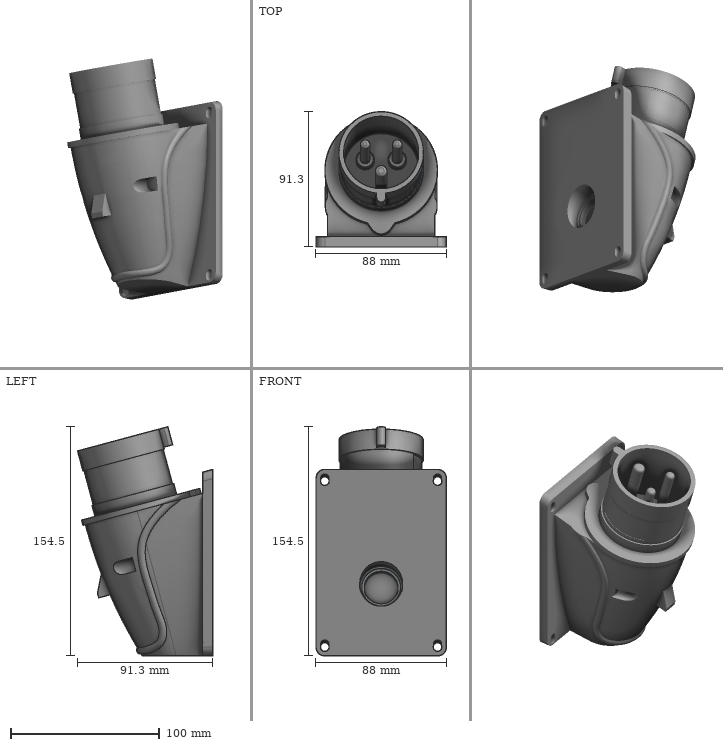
import cadquery as cq
import math

TILT = 15.0
TILT_SIN = math.sin(math.radians(TILT))
TILT_COS = math.cos(math.radians(TILT))
AXIS_Y = 24.75
TRIM_SIZE = 400.0

PLUG_FRAME = cq.Plane(
    origin=(0, AXIS_Y, 0),
    xDir=(1, 0, 0),
    normal=(0, TILT_SIN, TILT_COS),
)
PLUG_UP = cq.selectors.DirectionMinMaxSelector(PLUG_FRAME.zDir, True)

PLATE_WIDTH = 88.0
PLATE_HEIGHT = 125.8
PLATE_THICK = 7.0
PLATE_CORNER = 6.0
SLOT_WIDTH = 5.6
SLOT_HEIGHT = 7.6
SLOT_X = 38.0
SLOT_EDGE = 7.0

HOUSING_TOP = 101.2
FLANGE_THICK = 3.8
FLANGE_TOP = HOUSING_TOP + FLANGE_THICK
COLLAR_TOP = FLANGE_TOP + 7.7
SLEEVE_TOP = 150.7
RIM_HEIGHT = 14.0

WALL_TOP_RADIUS = 36.25
WALL_BULGE = 325.0
HOUSING_FOOT = -8.0
SIDE_REACH = 60.0
BEAD_RADIUS = 2.8
BEAD_SINK = 1.2
BEAD_FOOT = 10.1
BEAD_RUN = [
    (-31.0, 104.0),
    (-6.8, 90.6),
    (2.1, 79.9),
    (5.0, 70.9),
    (5.5, 50.4),
    (4.4, 31.5),
    (4.2, 18.6),
    (7.7, 12.0),
    (15.0, 9.4),
]
RECESS_HEIGHT = 67.0
RECESS_RADIUS = 4.75
RECESS_X = 28.0
RECESS_U = 11.4
LATCH_WIDTH = 10.0
LATCH_BOTTOM = 51.3
LATCH_EDGE = 3.4
LATCH_TOP = 66.5
LATCH_TIP_U = 40.3

FLANGE_RADIUS = 38.0
COLLAR_RADIUS = 28.6
TAB_ROOT_X = 9.3
TAB_RADIUS = 7.5
TAB_TIP_U = -44.6

SLEEVE_RADIUS = 27.7
RIM_RADIUS = 28.5
SLEEVE_BORE = 25.3
KEY_WIDTH = 6.0
KEY_TIP_U = -34.65
KEY_HEIGHT = 12.7
LABEL_ANGLE = 38.0
LABEL_DEPTH = 0.25
LABEL_LOW = 116.0
LABEL_TOP = 136.0

PIN_CIRCLE = 12.5
LIVE_RADIUS = 3.2
EARTH_RADIUS = 4.0
PIN_TOP = SLEEVE_TOP - 1.0
TIP_ROUND = 1.9
SHOULDER_RADIUS = 6.2
SHOULDER_HEIGHT = 5.0
SHOULDER_CHAMFER = 0.7
LIVE_ANGLES = (30.0, 150.0)
EARTH_ANGLE = 270.0

ENTRY_Z = 48.6
ENTRY_LEAD = 10.0
ENTRY_STEPS = [
    (14.5, 8.6),
    (13.1, 9.5),
    (11.4, 13.9),
]


def plug_plane(height):
    """Workplane across the plug axis at the given height."""
    return cq.Workplane(PLUG_FRAME).workplane(offset=height)


def disc(radius, low, high):
    """Cylinder on the plug axis."""
    return plug_plane(low).circle(radius).extrude(high - low)


def peg(radius, spot, low, high):
    """Cylinder parallel to the plug axis, centred at spot (X, u)."""
    return plug_plane(low).center(*spot).circle(radius).extrude(high - low)


def wall_radius(height):
    """Radius of the housing wall at a height on the plug axis."""
    below_top = HOUSING_TOP - height
    return WALL_TOP_RADIUS - WALL_BULGE + math.sqrt(WALL_BULGE**2 - below_top**2)


def pin_spot(angle):
    """Place (X, u) on the pin circle."""
    radians = math.radians(angle)
    return (PIN_CIRCLE * math.cos(radians), PIN_CIRCLE * math.sin(radians))


LIVE_SPOTS = [pin_spot(angle) for angle in LIVE_ANGLES]
EARTH_SPOT = pin_spot(EARTH_ANGLE)


def make_plate():
    """Mounting plate whose top edge and slots slope with the plug tilt."""
    slope_drop = PLATE_THICK * TILT_SIN / TILT_COS
    plate = (
        cq.Workplane("YZ")
        .moveTo(0, 0)
        .lineTo(PLATE_THICK, 0)
        .lineTo(PLATE_THICK, PLATE_HEIGHT - slope_drop)
        .lineTo(0, PLATE_HEIGHT)
        .close()
        .extrude(PLATE_WIDTH / 2, both=True)
        .edges("(<X or >X) and (not |Z)")
        .fillet(PLATE_CORNER)
    )
    slot_path = cq.Vector(0, PLATE_THICK, -slope_drop)
    for x in (-SLOT_X, SLOT_X):
        for z in (SLOT_EDGE, PLATE_HEIGHT - SLOT_EDGE):
            outline = cq.Workplane("XZ").center(x, z).slot2D(SLOT_HEIGHT, SLOT_WIDTH, 90)
            plate = plate.cut(cq.Workplane(cq.Solid.extrudeLinear(outline.wires().val(), [], slot_path)))
    return plate


def cable_entry():
    """Blind stepped bore, square to the plug axis."""
    start = cq.Plane(origin=(0, 0, ENTRY_Z), xDir=(1, 0, 0), normal=(0, TILT_COS, -TILT_SIN))
    mouth = cq.Workplane(start).workplane(offset=-ENTRY_LEAD)
    bore = cq.Workplane()
    for radius, depth in ENTRY_STEPS:
        bore = bore.add(mouth.circle(radius).extrude(depth + ENTRY_LEAD))
    return bore.combine()


def wall_profile():
    """Half section between the plug axis and the curved wall, in X and s."""
    middle = (HOUSING_TOP + HOUSING_FOOT) / 2
    section = cq.Plane(origin=PLUG_FRAME.origin, xDir=(1, 0, 0), normal=-PLUG_FRAME.yDir)
    return (
        cq.Workplane(section)
        .moveTo(0, HOUSING_FOOT)
        .lineTo(wall_radius(HOUSING_FOOT), HOUSING_FOOT)
        .threePointArc((wall_radius(middle), middle), (WALL_TOP_RADIUS, HOUSING_TOP))
        .lineTo(0, HOUSING_TOP)
        .close()
    )


def bead_point(u, s, side):
    """Point just under the housing wall, round on the front and flat on the sides."""
    radius = wall_radius(s) - BEAD_SINK
    x = math.sqrt(radius**2 - max(u, 0) ** 2)
    return PLUG_FRAME.toWorldCoords((side * x, u, s))


def make_bead():
    """Round bead up both sides of the housing, joined across the front near its foot."""
    foot = PLUG_FRAME.toWorldCoords((0, wall_radius(BEAD_FOOT) - BEAD_SINK, BEAD_FOOT))
    left = [bead_point(u, s, -1) for u, s in BEAD_RUN]
    right = [bead_point(u, s, 1) for u, s in reversed(BEAD_RUN)]
    path = cq.Workplane("XY").spline([cq.Vector(p) for p in left + [foot] + right])
    start = path.val().startPoint()
    section = cq.Plane(origin=start, normal=path.val().tangentAt(0))
    return cq.Workplane(section).circle(BEAD_RADIUS).sweep(path)


def make_latch():
    """Wedge standing on the wall opposite the plate."""
    wedge = cq.Workplane(cq.Plane(PLUG_FRAME.origin, xDir=PLUG_FRAME.yDir, normal=(1, 0, 0)))
    return (
        wedge.moveTo(0, LATCH_BOTTOM)
        .lineTo(LATCH_TIP_U, LATCH_BOTTOM)
        .lineTo(LATCH_TIP_U, LATCH_BOTTOM + LATCH_EDGE)
        .lineTo(wall_radius(LATCH_TOP), LATCH_TOP)
        .lineTo(0, LATCH_TOP)
        .close()
        .extrude(LATCH_WIDTH / 2, both=True)
    )


def screw_recess(side):
    """Round-bottomed groove in one side of the wall, open to the front."""
    start = cq.Workplane(cq.Plane(
        origin=PLUG_FRAME.toWorldCoords((side * RECESS_X, RECESS_U, RECESS_HEIGHT)),
        xDir=(side, 0, 0),
        normal=PLUG_FRAME.yDir,
    ))
    groove = start.circle(RECESS_RADIUS).extrude(WALL_TOP_RADIUS)
    mouth = start.center(RECESS_RADIUS, 0).rect(2 * RECESS_RADIUS, 2 * RECESS_RADIUS).extrude(WALL_TOP_RADIUS)
    return groove.union(mouth)


def make_housing():
    """Mounting plate and the tapering body that carries the plug."""
    round_front = wall_profile().revolve(360, (0, 0, 0), (0, 1, 0))
    axis_end = PLUG_FRAME.origin + PLUG_FRAME.zDir
    round_front = round_front.rotate(PLUG_FRAME.origin.toTuple(), axis_end.toTuple(), -90)
    half_side = wall_profile().extrude(SIDE_REACH)
    housing = round_front.union(half_side).union(half_side.mirror("YZ"))
    housing = housing.union(make_bead()).union(make_latch())
    for side in (-1, 1):
        housing = housing.cut(screw_recess(side))
    above = plug_plane(HOUSING_TOP).rect(TRIM_SIZE, TRIM_SIZE).extrude(TRIM_SIZE)
    room = cq.Workplane("XY").box(TRIM_SIZE, TRIM_SIZE, TRIM_SIZE, centered=(True, False, False))
    housing = housing.intersect(room.translate((0, PLATE_THICK, 0))).cut(above)
    return housing.union(make_plate()).cut(cable_entry())


def make_flange():
    """Ring with a collar round the sleeve and a rounded tab towards the plate."""
    tab_root_u = -math.sqrt(FLANGE_RADIUS**2 - TAB_ROOT_X**2)
    tab_centre_u = TAB_TIP_U + TAB_RADIUS
    root_rise = tab_root_u - tab_centre_u
    root_angle = math.atan2(root_rise, TAB_ROOT_X)
    root_distance = math.hypot(TAB_ROOT_X, root_rise)
    tangent_angle = root_angle - math.acos(TAB_RADIUS / root_distance)
    tangent_x = TAB_RADIUS * math.cos(tangent_angle)
    tangent_u = tab_centre_u + TAB_RADIUS * math.sin(tangent_angle)
    tab = (
        plug_plane(HOUSING_TOP)
        .moveTo(-TAB_ROOT_X, tab_root_u)
        .lineTo(-tangent_x, tangent_u)
        .threePointArc((0, TAB_TIP_U), (tangent_x, tangent_u))
        .lineTo(TAB_ROOT_X, tab_root_u)
        .lineTo(0, 0)
        .close()
        .extrude(FLANGE_THICK)
    )
    ring = disc(FLANGE_RADIUS, HOUSING_TOP, FLANGE_TOP).union(tab)
    collar = disc(COLLAR_RADIUS, HOUSING_TOP, COLLAR_TOP)
    return ring.union(collar).cut(disc(SLEEVE_RADIUS, HOUSING_TOP, COLLAR_TOP))


def label_field():
    """Thin shell sector cut from the sleeve wall on the +X side."""
    low_corner = math.radians(-LABEL_ANGLE)
    reach = 2 * SLEEVE_RADIUS
    x = reach * math.cos(low_corner)
    u = reach * math.sin(low_corner)
    sector = plug_plane(LABEL_LOW).polyline([(0, 0), (x, u), (x, -u)]).close().extrude(LABEL_TOP - LABEL_LOW)
    return sector.cut(disc(SLEEVE_RADIUS - LABEL_DEPTH, LABEL_LOW, LABEL_TOP))


def make_sleeve():
    """Cup with a thicker rim and a key, its floor bored for the pins."""
    key_round = KEY_WIDTH / 2
    key_centre_u = KEY_TIP_U + key_round
    key_low = SLEEVE_TOP - KEY_HEIGHT
    key = peg(key_round, (0, key_centre_u), key_low, SLEEVE_TOP).union(
        plug_plane(key_low)
        .center(0, key_centre_u / 2)
        .rect(KEY_WIDTH, -key_centre_u)
        .extrude(KEY_HEIGHT)
    )
    sleeve = (
        disc(SLEEVE_RADIUS, HOUSING_TOP, SLEEVE_TOP)
        .cut(label_field())
        .union(disc(RIM_RADIUS, SLEEVE_TOP - RIM_HEIGHT, SLEEVE_TOP))
        .union(key)
        .cut(disc(SLEEVE_BORE, FLANGE_TOP, SLEEVE_TOP))
    )
    for spot in LIVE_SPOTS:
        sleeve = sleeve.cut(peg(LIVE_RADIUS, spot, HOUSING_TOP, FLANGE_TOP))
    return sleeve.cut(peg(EARTH_RADIUS, EARTH_SPOT, HOUSING_TOP, FLANGE_TOP))


def make_pin(radius, spot):
    """Round-tipped pin standing in the sleeve floor, just short of the rim."""
    return peg(radius, spot, HOUSING_TOP, PIN_TOP).faces(PLUG_UP).edges().fillet(TIP_ROUND)


def make_pin_shoulder(spot):
    """Insulating ring round a live pin, standing on the sleeve floor."""
    top = FLANGE_TOP + SHOULDER_HEIGHT
    ring = peg(SHOULDER_RADIUS, spot, FLANGE_TOP, top).faces(PLUG_UP).chamfer(SHOULDER_CHAMFER)
    return ring.cut(peg(LIVE_RADIUS, spot, FLANGE_TOP, top))


housing = make_housing()
flange = make_flange()
sleeve = make_sleeve()
live_pins = [make_pin(LIVE_RADIUS, spot) for spot in LIVE_SPOTS]
pin_shoulders = [make_pin_shoulder(spot) for spot in LIVE_SPOTS]
earth_pin = make_pin(EARTH_RADIUS, EARTH_SPOT)

result = cq.Compound.makeCompound([
    housing.val(),
    flange.val(),
    sleeve.val(),
    *[pin.val() for pin in live_pins],
    *[shoulder.val() for shoulder in pin_shoulders],
    earth_pin.val(),
])